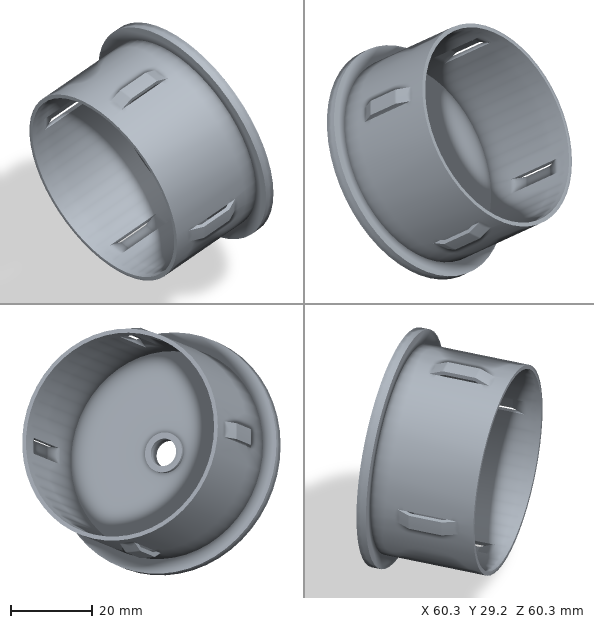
import cadquery as cq
import math

flange_diameter = 60.3
flange_thickness = 2.5
total_length = 29.2
tube_diameter = 53.0
wall_thickness = 1.0
hole_diameter = 6.9
boss_diameter = 10.0
boss_height = 1.0

clip_count = 4
clip_width = 4.0
clip_rise = 1.55
clip_center_y = 12.0
clip_top_half_length = 4.3
clip_base_half_length = 7.7
base_bend_radius = 1.5
top_bend_radius = 1.2

tube_radius = tube_diameter / 2
bore_diameter = tube_diameter - 2 * wall_thickness
floor_y = total_length - flange_thickness
clip_angle = math.atan2(clip_rise, clip_base_half_length - clip_top_half_length)
half_angle = clip_angle / 2
clip_half_length = clip_base_half_length + base_bend_radius * math.tan(half_angle)


def cylinder(diameter, start_y, end_y):
    """Solid cylinder on the Y axis between two Y positions."""
    plane = cq.Workplane("XZ", origin=(0, start_y, 0))
    return plane.circle(diameter / 2).extrude(start_y - end_y)


def turned(shape, degrees):
    """The shape turned about the Y axis."""
    return shape.rotate((0, 0, 0), (0, 1, 0), degrees)


def half_clip_face(depth):
    """Points along half of the clip face that lies `depth` below the outer face.

    Each point is (distance from the tube axis, distance from the clip middle).
    They are the start, middle and end of the base bend, then of the top bend.
    """
    setback = depth * math.tan(half_angle)
    base_radius = base_bend_radius + depth
    top_radius = top_bend_radius - depth
    base_level = tube_radius - depth
    top_level = base_level + clip_rise
    base_start = clip_base_half_length - setback + base_radius * math.tan(half_angle)
    top_end = clip_top_half_length - setback - top_radius * math.tan(half_angle)

    def base_bend(angle):
        rise = base_radius * (1 - math.cos(angle))
        return (base_level + rise, base_start - base_radius * math.sin(angle))

    def top_bend(angle):
        drop = top_radius * (1 - math.cos(angle))
        return (top_level - drop, top_end + top_radius * math.sin(angle))

    base_points = [base_bend(angle) for angle in (0, half_angle, clip_angle)]
    top_points = [top_bend(angle) for angle in (clip_angle, half_angle, 0)]
    return base_points + top_points


def mirrored(points):
    """The points reflected about the clip middle, in the same order."""
    return [(radius, -along) for radius, along in points]


def draw_clip_face(outline, half_face):
    """Extend the outline, already at the first point, along one whole clip face."""
    outline = outline.threePointArc(half_face[1], half_face[2]).lineTo(*half_face[3])
    outline = outline.threePointArc(half_face[4], half_face[5])
    far_half = mirrored(half_face)[::-1]
    outline = outline.lineTo(*far_half[0]).threePointArc(far_half[1], far_half[2])
    return outline.lineTo(*far_half[3]).threePointArc(far_half[4], far_half[5])


def make_clip_block():
    """Block on the +X side, as wide and as long as the clip."""
    plane = cq.Workplane("XY", origin=(0, clip_center_y, 0))
    return plane.box(flange_diameter, 2 * clip_half_length, clip_width, centered=(False, True, True))


def make_clip(block):
    """Bent strip on the +X side, curved around the tube axis and trimmed to the block."""
    outer = half_clip_face(0)
    inner = mirrored(half_clip_face(wall_thickness))
    outline = cq.Workplane("XY", origin=(0, clip_center_y, 0)).moveTo(*outer[0])
    outline = draw_clip_face(outline, outer).lineTo(*inner[0])
    outline = draw_clip_face(outline, inner).close()
    return outline.revolve(360, (0, 0, 0), (0, 1, 0)).intersect(block)


flange = cylinder(flange_diameter, floor_y, total_length)

tube = cylinder(tube_diameter, 0, floor_y).cut(cylinder(bore_diameter, 0, floor_y))

clip_block = make_clip_block()
clip = make_clip(clip_block)
for index in range(clip_count):
    turn = index * 360 / clip_count
    tube = tube.cut(turned(clip_block, turn)).union(turned(clip, turn))

boss = cylinder(boss_diameter, floor_y - boss_height, floor_y)
hole = cylinder(hole_diameter, floor_y - boss_height, total_length)

result = flange.union(tube).union(boss).cut(hole)